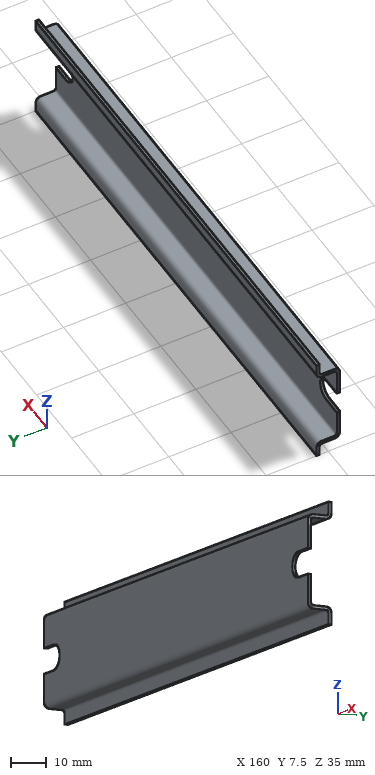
import cadquery as cq

length = 160.0
depth = 7.5
height = 35.0

thickness = 1.0
channel_height = 27.0
inner_radius = 0.8
outer_radius = inner_radius + thickness

slot_width = 7.4
slot_depth = 9.5

front = -depth / 2
back = depth / 2
channel_half = channel_height / 2


def rail_body():
    """Top-hat section extruded along X, with rounded bends."""
    inner_half = channel_half - thickness
    outline = [
        (back, height / 2),
        (back, inner_half),
        (front + thickness, inner_half),
        (front + thickness, -inner_half),
        (back, -inner_half),
        (back, -height / 2),
        (back - thickness, -height / 2),
        (back - thickness, -channel_half),
        (front, -channel_half),
        (front, channel_half),
        (back - thickness, channel_half),
        (back - thickness, height / 2),
    ]
    body = cq.Workplane("YZ").polyline(outline).close().extrude(length / 2, both=True)
    for side in (-1, 1):
        outside_z = side * channel_half
        inside_z = side * inner_half
        bends = [
            (front, outside_z, outer_radius),
            (front + thickness, inside_z, inner_radius),
            (back, inside_z, outer_radius),
            (back - thickness, outside_z, inner_radius),
        ]
        for y, z, radius in bends:
            corner = cq.selectors.NearestToPointSelector((0, y, z))
            body = body.edges("|X").edges(corner).fillet(radius)
    return body


def end_slot(side):
    """Cutter for one slot, open at the rail end and round inside."""
    round_x = side * (length / 2 - slot_depth + slot_width / 2)
    outer_x = side * length / 2
    return (
        cq.Workplane("XZ")
        .moveTo(outer_x, slot_width / 2)
        .lineTo(round_x, slot_width / 2)
        .threePointArc((round_x - side * slot_width / 2, 0), (round_x, -slot_width / 2))
        .lineTo(outer_x, -slot_width / 2)
        .close()
        .extrude(depth, both=True)
    )


result = rail_body()
for end in (-1, 1):
    result = result.cut(end_slot(end))